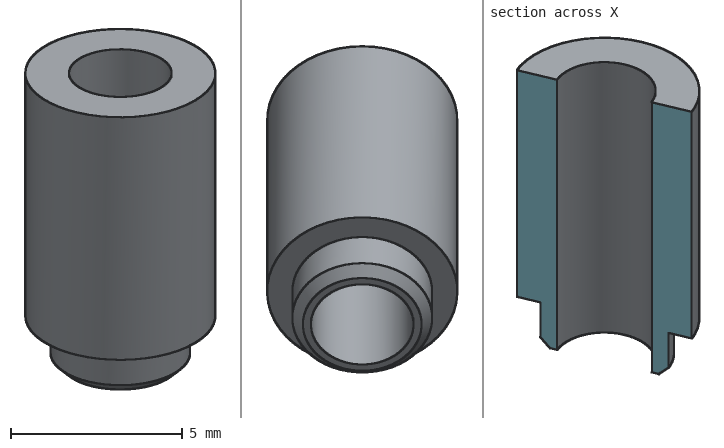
import cadquery as cq

body_diameter = 5.56
body_length = 8.0
shank_diameter = 4.09
shank_length = 1.53
shank_chamfer = 0.31
bore_diameter = 3.0

total_length = body_length + shank_length


def make_body():
    """Main cylinder, standing on the shoulder plane at Z = 0."""
    return cq.Workplane("XY").circle(body_diameter / 2).extrude(body_length)


def make_shank():
    """Smaller cylinder below the shoulder, chamfered at its free end."""
    shank = cq.Workplane("XY").circle(shank_diameter / 2).extrude(-shank_length)
    return shank.faces("<Z").edges().chamfer(shank_chamfer)


def make_bore():
    """Cutter for the bore along the whole axis."""
    bottom = cq.Workplane("XY").workplane(offset=-shank_length)
    return bottom.circle(bore_diameter / 2).extrude(total_length)


result = make_body().union(make_shank()).cut(make_bore())